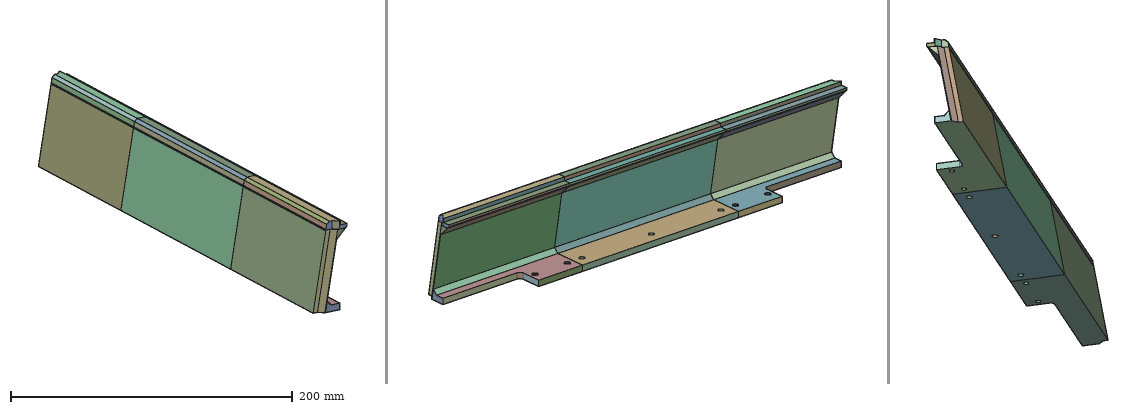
import math

import cadquery as cq

overall_length = 373.19
middle_length = 146.0
seam_gap = 0.1
flange_overhang = 0.095
flange_end = overall_length / 2
wall_end = flange_end - flange_overhang
middle_end = middle_length / 2
side_start = middle_end + seam_gap

overall_height = 67.0
lean = math.radians(10)
wall_thickness = 8.0
plate_thickness = 3.6
end_land = 0.5
bevel_depth = wall_thickness - plate_thickness - end_land
bevel_length = 3.6
front_end = wall_end - bevel_length

overall_depth = 40.21
flange_thickness = 5.0
narrow_flange_depth = 20.2
wide_flange_end = 114.1
flange_fillet = 3.0
gusset_leg = 3.5

hole_y = overall_depth - 10.0
middle_hole_diameter = 4.2
middle_hole_x = (-65.0, 0.0, 65.0)
side_hole_diameter = 3.6
side_hole_mouth = 4.5
side_hole_mouth_depth = 1.0
side_hole_x = (78.7, 109.0)

joint_z = 60.9
joint_chamfer = 0.6
cap_chamfer = 2.0
ridge_back_y = 20.6
miter_back_y = 20.0
ledge_back_y = 26.4
ledge_top_z = 64.0
ledge_edge = 1.7
ledge_bottom_z = ledge_top_z - ledge_edge


def front_y(z):
    """Y of the wall's front face at height z."""
    return z * math.tan(lean)


def back_y(z):
    """Y of the wall's back face at height z."""
    return (z * math.sin(lean) + wall_thickness) / math.cos(lean)


gusset_top_z = flange_thickness + gusset_leg
gusset_foot_y = back_y(gusset_top_z) + gusset_leg
ledge_joint_y = ledge_back_y - ledge_bottom_z + joint_z
support_foot_z = (back_y(0) - ledge_back_y + ledge_bottom_z) / (1 - math.tan(lean))


def extrude_profile(profile, x_start, x_end):
    """Solid from a (Y, Z) profile between two X positions."""
    plane = cq.Workplane("YZ", origin=(x_start, 0, 0))
    return plane.polyline(profile).close().extrude(x_end - x_start)


def wall(x_start, x_end, beveled):
    """Leaning wall from the floor to the joint, its +X end bevelled behind the front layer."""
    end = front_end if beveled else x_end
    outline = [
        (x_start, 0),
        (end, 0),
        (end, plate_thickness),
        (x_end, plate_thickness + bevel_depth),
        (x_end, wall_thickness),
        (x_start, wall_thickness),
    ]
    lean_direction = (0, math.sin(lean), math.cos(lean))
    leaning = cq.Plane(origin=(0, 0, 0), xDir=(1, 0, 0), normal=lean_direction)
    slab = cq.Workplane(leaning).polyline(outline).close().extrude(overall_height, both=True)
    height_limit = cq.Workplane("XY").box(
        overall_length, 2 * overall_depth, joint_z, centered=(True, True, False)
    )
    groove_side = [
        (front_y(joint_z - joint_chamfer), joint_z - joint_chamfer),
        (front_y(joint_z) + joint_chamfer, joint_z),
        (front_y(joint_z) - joint_chamfer, joint_z),
    ]
    return slab.intersect(height_limit).cut(extrude_profile(groove_side, x_start, x_end))


def ledge_support(x_start, x_end):
    """Triangular rib behind the wall that carries the overhanging ledge."""
    profile = [
        (back_y(joint_z), joint_z),
        (ledge_joint_y, joint_z),
        (back_y(support_foot_z), support_foot_z),
    ]
    return extrude_profile(profile, x_start, x_end)


def narrow_foot(x_start, x_end):
    """Narrow flange with the 45 degree gusset that braces the wall."""
    profile = [
        (back_y(0), 0),
        (narrow_flange_depth, 0),
        (narrow_flange_depth, flange_thickness),
        (gusset_foot_y, flange_thickness),
        (back_y(gusset_top_z), gusset_top_z),
    ]
    return extrude_profile(profile, x_start, x_end)


def wide_flange(x_start, x_end):
    """Full-depth part of the flange behind the narrow one."""
    profile = [
        (narrow_flange_depth, 0),
        (overall_depth, 0),
        (overall_depth, flange_thickness),
        (narrow_flange_depth, flange_thickness),
    ]
    return extrude_profile(profile, x_start, x_end)


def flange_corner():
    """Concave fillet where the wide flange meets the back edge of the narrow one."""
    tangent_x = wide_flange_end + flange_fillet
    tangent_y = narrow_flange_depth + flange_fillet
    arc_offset = flange_fillet * (1 - math.sqrt(0.5))
    return (
        cq.Workplane("XY")
        .moveTo(wide_flange_end, narrow_flange_depth)
        .lineTo(tangent_x, narrow_flange_depth)
        .threePointArc(
            (wide_flange_end + arc_offset, narrow_flange_depth + arc_offset),
            (wide_flange_end, tangent_y),
        )
        .close()
        .extrude(flange_thickness)
    )


def middle_base():
    """Wall and flange of the middle section, with plain screw holes."""
    span = (-middle_end, middle_end)
    base = wall(*span, beveled=False)
    for part in (ledge_support(*span), narrow_foot(*span), wide_flange(*span)):
        base = base.union(part)
    holes = (
        cq.Workplane("XY")
        .pushPoints([(x, hole_y) for x in middle_hole_x])
        .circle(middle_hole_diameter / 2)
        .extrude(flange_thickness)
    )
    return base.cut(holes)


def side_base():
    """Wall and flange of the +X end section, with stepped screw holes."""
    base = wall(side_start, wall_end, beveled=True)
    parts = (
        ledge_support(side_start, wall_end),
        narrow_foot(side_start, flange_end),
        wide_flange(side_start, wide_flange_end),
        flange_corner(),
    )
    for part in parts:
        base = base.union(part)
    return (
        base.copyWorkplane(cq.Workplane("XY", origin=(0, 0, flange_thickness)))
        .pushPoints([(x, hole_y) for x in side_hole_x])
        .cboreHole(side_hole_diameter, side_hole_mouth, side_hole_mouth_depth)
    )


def cap(x_start, x_end):
    """Cap strip: a chamfered ridge in front with a ledge overhanging behind it."""
    chamfer_z = overall_height - cap_chamfer * math.cos(lean)
    profile = [
        (front_y(joint_z), joint_z),
        (front_y(chamfer_z), chamfer_z),
        (front_y(overall_height) + cap_chamfer, overall_height),
        (ridge_back_y, overall_height),
        (ridge_back_y, ledge_top_z),
        (ledge_back_y, ledge_top_z),
        (ledge_back_y, ledge_bottom_z),
        (ledge_joint_y, joint_z),
    ]
    return extrude_profile(profile, x_start, x_end)


def side_cap():
    """Cap of the +X end section, mitred in front to follow the bevelled wall end."""
    corner = [
        (front_end, 0),
        (front_end, miter_back_y - bevel_depth),
        (wall_end, miter_back_y),
        (wall_end, 0),
    ]
    cutter = cq.Workplane("XY").polyline(corner).close().extrude(overall_height)
    return cap(side_start, wall_end).cut(cutter)


bodies = [middle_base().val(), cap(-middle_end, middle_end).val()]
for side_body in (side_base(), side_cap()):
    bodies.append(side_body.val())
    bodies.append(side_body.mirror("YZ").val())

result = cq.Compound.makeCompound(bodies)